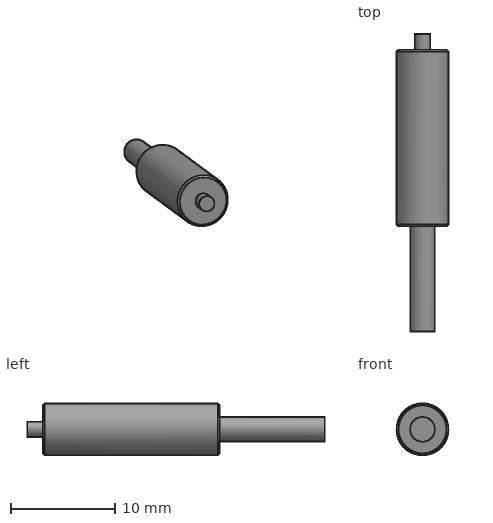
import cadquery as cq

body_diameter = 5.0
body_length = 17.0
body_chamfer = 0.2
rod_diameter = 2.38
rod_length = 10.1
tip_diameter = 1.5
tip_length = 1.5


def cylinder_along_y(diameter, length, start_y):
    """Round bar on the Y axis, running from start_y toward +Y."""
    axis = cq.Vector(0, 1, 0)
    start = cq.Vector(0, start_y, 0)
    return cq.Workplane(cq.Solid.makeCylinder(diameter / 2, length, start, axis))


body = cylinder_along_y(body_diameter, body_length, 0).edges("%CIRCLE").chamfer(body_chamfer)

rod = cylinder_along_y(rod_diameter, rod_length, -rod_length)
tip = cylinder_along_y(tip_diameter, tip_length, body_length)

result = body.union(rod).union(tip)